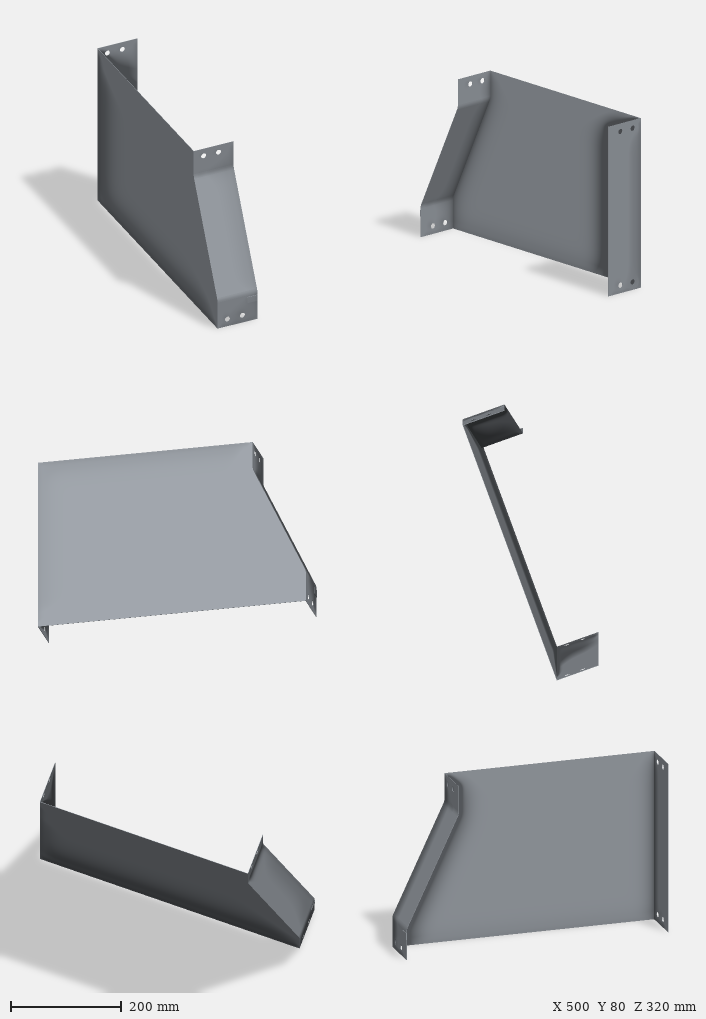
import cadquery as cq

length = 500.0
depth = 80.0
height = 320.0
sheet = 0.75

tab_thickness = 1.0
base_length = length - tab_thickness
top_length = 400.0
slope_top = 267.0
slope_bottom = 59.0
bend_radius = 20.0

hole_diameter = 10.0
hole_edge_offset = 15.0
hole_depths = (20.0, 50.0)

tab_depth = 20.0
tab_height = 12.5
tab_bottom = 38.5


def panel_prism():
    """Full-depth block with the panel outline and rounded slope corners."""
    outline = [
        (0, 0),
        (base_length, 0),
        (base_length, slope_bottom),
        (top_length, slope_top),
        (top_length, height),
        (0, height),
    ]
    block = cq.Workplane("XZ").polyline(outline).close().extrude(-depth)
    for x, z in ((base_length, slope_bottom), (top_length, slope_top)):
        corner = cq.selectors.NearestToPointSelector((x, depth / 2, z))
        block = block.edges("|Y").edges(corner).fillet(bend_radius)
    return block


def bent_sheet():
    """Front panel with a plain left flange and a right flange following the slope."""
    return panel_prism().faces(">Y or >Z or <Z").shell(-sheet)


def drill_flanges(body):
    """Drill the four hole positions through both side flanges."""
    positions = [
        (y, z)
        for y in hole_depths
        for z in (hole_edge_offset, height - hole_edge_offset)
    ]
    drills = cq.Workplane("YZ").pushPoints(positions).circle(hole_diameter / 2).extrude(length)
    return body.cut(drills)


def rear_tab():
    """Pad standing proud of the lower straight part of the right flange."""
    return (
        cq.Workplane("XY")
        .box(sheet + tab_thickness, tab_depth, tab_height, centered=False)
        .translate((base_length - sheet, depth - tab_depth, tab_bottom))
    )


result = drill_flanges(bent_sheet()).union(rear_tab())